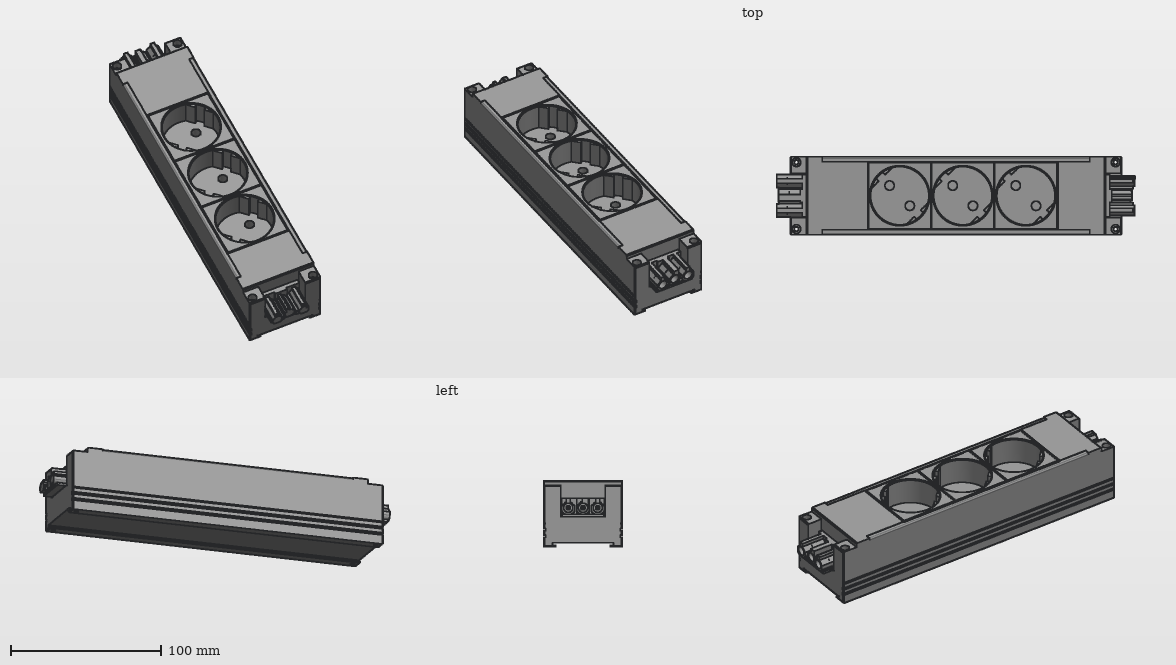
import cadquery as cq

HOUSING_LENGTH = 220.3
WIDTH = 52.0
HEIGHT = 44.0
SHOULDER_HEIGHT = 41.0
COVER_LENGTH = 198.8
EDGE_CHAMFER = 0.7

RAIL_LENGTH = 177.5
RAIL_WIDTH = 3.3
RAIL_STEP = 0.2
RAIL_FILLET = 1.0

SIDE_GROOVES = [(15.5, 0.7, 0.7), (11.5, 1.5, 1.2), (7.2, 1.5, 1.2)]

SLOT_DEPTH = 2.6
SLOT_WIDTH = 40.5
SLOT_OPENING = 36.0
SLOT_LIP = 1.0

SOCKET_COUNT = 3
SOCKET_PITCH = 42.0
SOCKET_ROW_CENTRE = 4.5
SOCKET_RADIUS = 19.3
SOCKET_DEPTH = 18.5
SOCKET_RIM_CHAMFER = 0.7
SEAM_WIDTH = 0.7
SEAM_DEPTH = 0.7
SEAM_SPAN = WIDTH - 2 * RAIL_WIDTH
GUIDE_DISTANCE = 16.7
GUIDE_SLOT_WIDTH = 6.2
GUIDE_ANGLE = 135
PIN_HOLE_RADIUS = 3.0
PIN_HOLE_SPACING = 19.0
PIN_HOLE_DEPTH = 9.5

SCREW_X = 106.0
SCREW_Y = 22.2
SCREW_RADIUS = 1.5
SCREW_HEAD_RADIUS = 2.9
SCREW_HEAD_DEPTH = 6.0

BAY_WIDTH = 29.5
BAY_FLOOR = 20.0
BAY_BACK = COVER_LENGTH / 2
BLOCK_TOP = 32.5
BLOCK_FRONT = 102.3
BLOCK_CENTRE_FRONT = 103.7
BLOCK_CENTRE_WIDTH = 8.5
CONTACT_SPACING = 9.8
PLATE_TOP = 21.7
BLOCK_WIDTH = 28.1

INLET_AXIS_HEIGHT = 26.0
INLET_KEY_TOP = BLOCK_TOP
INLET_PLATE_END = 117.8
INLET_PLATE_WIDTH = 27.7
INLET_OUTER_END = 119.2
INLET_OUTER_SIZE = 8.8
INLET_OUTER_CORNER = 3.3
INLET_OUTER_KEY_WIDTH = 2.9
INLET_CENTRE_END = 118.0
INLET_CENTRE_SIZE = 8.3
INLET_CENTRE_CORNER = 3.0
INLET_CENTRE_KEY_WIDTH = 3.8
INLET_CENTRE_KEY_OFFSET = -1.5
MOUTH_RADIUS = 3.0
MOUTH_DEPTH = 7.2
CONTACT_PIN_RADIUS = 1.5
CONTACT_PIN_CHAMFER = 0.7
CONTACT_PIN_RECESS = 4.8

OUTLET_AXIS_HEIGHT = 25.0
OUTLET_KEY_TOP = 30.0
OUTLET_PLATE_END = 116.0
OUTLET_PLATE_WIDTH = 26.2
OUTLET_OUTER_END = 118.7
OUTLET_OUTER_KEY_END = 117.5
OUTLET_CENTRE_END = 117.0
OUTLET_SIZE = 7.0
OUTLET_CORNER = 2.5
OUTLET_OUTER_KEY_WIDTH = 2.6
OUTLET_CENTRE_KEY_WIDTH = 2.0
OUTLET_CENTRE_KEY_OFFSET = -1.5
OUTLET_RIB_END = 117.8
OUTLET_RIB_WIDTH = 2.0
OUTLET_RIB_Y = 5.5
LATCH_END = 119.2
LATCH_WIDTH = 1.5
LATCH_HEIGHT = 1.0
LATCH_Y = 12.0
LATCH_Z = 27.2


def box(x_range, y_range, z_range):
    """Box between the given limits, in any order along each axis."""
    lows = [min(limits) for limits in (x_range, y_range, z_range)]
    sizes = [abs(limits[1] - limits[0]) for limits in (x_range, y_range, z_range)]
    return cq.Workplane("XY").box(*sizes, centered=False).translate(tuple(lows))


def centred(size, middle=0.0):
    """Limits of a span of the given size about its middle."""
    return (middle - size / 2, middle + size / 2)


def rod(x_start, x_end, y, z, radius):
    """Cylinder along X."""
    length = abs(x_end - x_start)
    plane = cq.Workplane("YZ", origin=(min(x_start, x_end), y, z))
    return plane.circle(radius).extrude(length)


def make_housing():
    """Base with low shoulders at both ends and the raised cover between them."""
    base = box(centred(HOUSING_LENGTH), centred(WIDTH), (0, SHOULDER_HEIGHT))
    base = base.faces("<X or >X").edges().chamfer(EDGE_CHAMFER)
    cover = box(centred(COVER_LENGTH), centred(WIDTH), (BAY_FLOOR, HEIGHT))
    cover = cover.edges("|Y and >Z").chamfer(EDGE_CHAMFER)
    return base.union(cover)


def cut_rails(body):
    """Lower both top edges slightly and round their outer corners."""
    for side in (-1, 1):
        inner = side * (WIDTH / 2 - RAIL_WIDTH)
        outer = side * WIDTH / 2
        recess = box(centred(RAIL_LENGTH), (inner, outer), (HEIGHT - RAIL_WIDTH, HEIGHT))
        rail = box(centred(RAIL_LENGTH), (inner, outer), (HEIGHT - RAIL_WIDTH, HEIGHT - RAIL_STEP))
        outer_edge = ">Z and >Y" if side > 0 else ">Z and <Y"
        rail = rail.edges(outer_edge).fillet(RAIL_FILLET)
        body = body.cut(recess).union(rail)
    return body


def cut_long_grooves(body):
    """Cut the grooves along both sides and the T-slot in the underside."""
    for height, width, depth in SIDE_GROOVES:
        for side in (-1, 1):
            y_range = (side * (WIDTH / 2 - depth), side * WIDTH / 2)
            body = body.cut(box(centred(HOUSING_LENGTH), y_range, centred(width, height)))
    opening = box(centred(HOUSING_LENGTH), centred(SLOT_OPENING), (0, SLOT_DEPTH))
    undercut = box(centred(HOUSING_LENGTH), centred(SLOT_WIDTH), (SLOT_LIP, SLOT_DEPTH))
    return body.cut(opening).cut(undercut)


def make_socket_cavity():
    """Cavity of one socket on the Z axis, with guide pads and two pin holes."""
    floor = HEIGHT - SOCKET_DEPTH
    well = cq.Workplane("XY", origin=(0, 0, floor)).circle(SOCKET_RADIUS).extrude(SOCKET_DEPTH)
    pad_top = HEIGHT - SOCKET_RIM_CHAMFER
    for side in (-1, 1):
        pad = box(
            (side * GUIDE_DISTANCE, side * SOCKET_RADIUS),
            centred(2 * SOCKET_RADIUS),
            (floor, pad_top),
        )
        slot = box(
            (side * GUIDE_DISTANCE, side * SOCKET_RADIUS),
            centred(GUIDE_SLOT_WIDTH),
            (floor, pad_top),
        )
        well = well.cut(pad.cut(slot))
    pin_holes = (
        cq.Workplane("XY", origin=(0, 0, floor - PIN_HOLE_DEPTH))
        .pushPoints([(-PIN_HOLE_SPACING / 2, 0), (PIN_HOLE_SPACING / 2, 0)])
        .circle(PIN_HOLE_RADIUS)
        .extrude(PIN_HOLE_DEPTH)
    )
    rim = (
        cq.Workplane("XY", origin=(0, 0, HEIGHT))
        .circle(SOCKET_RADIUS + SOCKET_RIM_CHAMFER)
        .workplane(offset=-SOCKET_RIM_CHAMFER)
        .circle(SOCKET_RADIUS)
        .loft()
    )
    cavity = well.union(pin_holes).union(rim)
    return cavity.rotate((0, 0, 0), (0, 0, 1), GUIDE_ANGLE)


def cut_sockets(body):
    """Cut the row of sockets and the seams around each socket insert."""
    row_length = SOCKET_COUNT * SOCKET_PITCH
    row_start = SOCKET_ROW_CENTRE - row_length / 2
    seam_z = (HEIGHT - SEAM_DEPTH, HEIGHT)
    cavity = make_socket_cavity()
    for index in range(SOCKET_COUNT):
        body = body.cut(cavity.translate((row_start + (index + 0.5) * SOCKET_PITCH, 0, 0)))
    for index in range(SOCKET_COUNT + 1):
        seam_x = centred(SEAM_WIDTH, row_start + index * SOCKET_PITCH)
        body = body.cut(box(seam_x, centred(SEAM_SPAN), seam_z))
    for side in (-1, 1):
        seam_y = (side * SEAM_SPAN / 2, side * (SEAM_SPAN / 2 - SEAM_WIDTH))
        body = body.cut(box(centred(row_length, SOCKET_ROW_CENTRE), seam_y, seam_z))
    return body


def cut_screw_holes(body):
    """Drill the counterbored mounting holes through the four corners."""
    corners = [(x, y) for x in (-SCREW_X, SCREW_X) for y in (-SCREW_Y, SCREW_Y)]
    shafts = cq.Workplane("XY").pushPoints(corners).circle(SCREW_RADIUS).extrude(SHOULDER_HEIGHT)
    heads = (
        cq.Workplane("XY", origin=(0, 0, SHOULDER_HEIGHT - SCREW_HEAD_DEPTH))
        .pushPoints(corners)
        .circle(SCREW_HEAD_RADIUS)
        .extrude(SCREW_HEAD_DEPTH)
    )
    return body.cut(shafts).cut(heads)


def add_connector_bay(body, end, plate_end, plate_width):
    """Open the bay at one end and add the terminal block and its floor plate."""
    bay = box((end * BAY_BACK, end * HOUSING_LENGTH / 2), centred(BAY_WIDTH), (BAY_FLOOR, HEIGHT))
    block_z = (BAY_FLOOR, BLOCK_TOP)
    block = box((end * BAY_BACK, end * BLOCK_FRONT), centred(BLOCK_WIDTH), block_z)
    centre = box((end * BAY_BACK, end * BLOCK_CENTRE_FRONT), centred(BLOCK_CENTRE_WIDTH), block_z)
    plate = box((end * BAY_BACK, end * plate_end), centred(plate_width), (BAY_FLOOR, PLATE_TOP))
    return body.cut(bay).union(block).union(centre).union(plate)


def make_sleeve(x_end, y, z, size, corner):
    """Square contact sleeve from the bay back to x_end, bevelled above and rounded below."""
    x_start = BAY_BACK if x_end > 0 else -BAY_BACK
    sleeve = box((x_start, x_end), centred(size, y), centred(size, z))
    sleeve = sleeve.edges("|X").edges(">Z").chamfer(corner)
    return sleeve.edges("|X").edges("<Z").fillet(corner)


def make_key(x_end, y, width, z_range):
    """Upright key along the top of a sleeve."""
    x_start = BAY_BACK if x_end > 0 else -BAY_BACK
    return box((x_start, x_end), centred(width, y), z_range)


def make_inlet_mouth(x_end, y):
    """Ring-shaped space around the recessed contact pin of an inlet sleeve."""
    bottom = x_end + MOUTH_DEPTH
    mouth = rod(x_end, bottom, y, INLET_AXIS_HEIGHT, MOUTH_RADIUS)
    pin = rod(x_end + CONTACT_PIN_RECESS, bottom, y, INLET_AXIS_HEIGHT, CONTACT_PIN_RADIUS)
    return mouth.cut(pin.faces("<X").edges().chamfer(CONTACT_PIN_CHAMFER))


def add_inlet(body):
    """Three hollow keyed contacts at the -X end."""
    body = add_connector_bay(body, -1, INLET_PLATE_END, INLET_PLATE_WIDTH)
    z = INLET_AXIS_HEIGHT
    key_z = (z, INLET_KEY_TOP)
    for y in (-CONTACT_SPACING, CONTACT_SPACING):
        sleeve = make_sleeve(-INLET_OUTER_END, y, z, INLET_OUTER_SIZE, INLET_OUTER_CORNER)
        key = make_key(-INLET_OUTER_END, y, INLET_OUTER_KEY_WIDTH, key_z)
        body = body.union(sleeve).union(key).cut(make_inlet_mouth(-INLET_OUTER_END, y))
    sleeve = make_sleeve(-INLET_CENTRE_END, 0, z, INLET_CENTRE_SIZE, INLET_CENTRE_CORNER)
    key = make_key(-INLET_CENTRE_END, INLET_CENTRE_KEY_OFFSET, INLET_CENTRE_KEY_WIDTH, key_z)
    return body.union(sleeve).union(key).cut(make_inlet_mouth(-INLET_CENTRE_END, 0))


def add_outlet(body):
    """Three solid keyed contacts, two ribs and a small latch tip at the +X end."""
    body = add_connector_bay(body, 1, OUTLET_PLATE_END, OUTLET_PLATE_WIDTH)
    z = OUTLET_AXIS_HEIGHT
    key_z = (z, OUTLET_KEY_TOP)
    for side in (-1, 1):
        y = side * CONTACT_SPACING
        sleeve = make_sleeve(OUTLET_OUTER_END, y, z, OUTLET_SIZE, OUTLET_CORNER)
        key = make_key(OUTLET_OUTER_KEY_END, y, OUTLET_OUTER_KEY_WIDTH, key_z)
        rib_y = centred(OUTLET_RIB_WIDTH, side * OUTLET_RIB_Y)
        rib = box((BAY_BACK, OUTLET_RIB_END), rib_y, (PLATE_TOP, z))
        body = body.union(sleeve).union(key).union(rib)
    sleeve = make_sleeve(OUTLET_CENTRE_END, 0, z, OUTLET_SIZE, OUTLET_CORNER)
    key = make_key(OUTLET_CENTRE_END, OUTLET_CENTRE_KEY_OFFSET, OUTLET_CENTRE_KEY_WIDTH, key_z)
    latch_y = centred(LATCH_WIDTH, LATCH_Y)
    latch = box((BAY_BACK, LATCH_END), latch_y, centred(LATCH_HEIGHT, LATCH_Z))
    return body.union(sleeve).union(key).union(latch)


housing = make_housing()
housing = cut_rails(housing)
housing = cut_long_grooves(housing)
housing = cut_sockets(housing)
housing = cut_screw_holes(housing)
housing = add_inlet(housing)
result = add_outlet(housing)